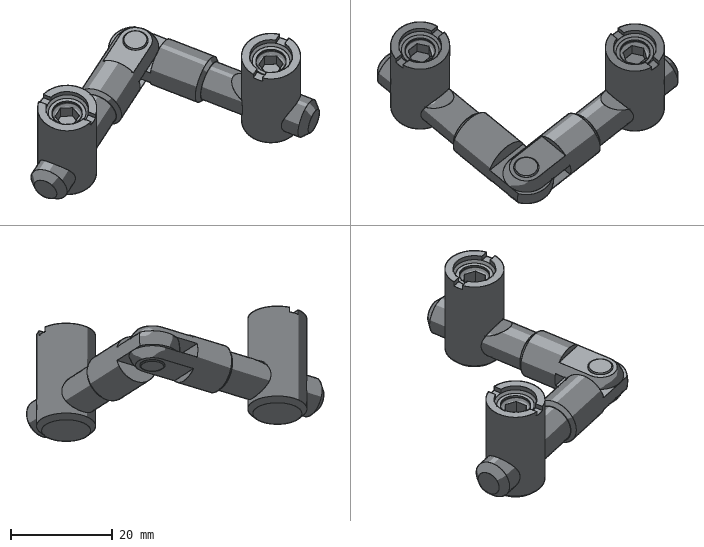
import cadquery as cq
import math

fork_side_turn = -90.0

arm_radius = 4.0
arm_end = 39.5
arm_end_chamfer = 1.5
collar_radius = 4.85
collar_end = 16.45
collar_chamfer = 0.75

tongue_thickness = 3.0
tongue_end_radius = 5.45
tongue_shoulder = 5.62
fork_thickness = 7.05
fork_shoulder = 7.57
pin_radius = 2.5
pin_length = 7.57
pin_chamfer = 0.23

housing_radius = 5.85
housing_top = 15.0
housing_bottom = -5.8
housing_bottom_chamfer = 1.0
housing_place = 30.0
slot_width = 2.0
slot_depth = 1.0
recess_radius = 4.2
recess_depth = 1.5
recess_chamfer = recess_depth - slot_depth

screw_radius = 3.0
screw_sink = 1.9
screw_top = housing_top - screw_sink
socket_flats = 4.15
socket_depth = 3.17
dish_radius = 2.95
dish_floor_radius = 2.35
dish_depth = dish_radius - dish_floor_radius
dish_floor = screw_top - dish_depth

pocket_offset = 3.0
pocket_radius = 5.45
pocket_place = housing_place - pocket_offset
pocket_apex = arm_radius - pocket_radius
screw_apex = pocket_apex + pocket_offset
screw_shoulder = screw_apex + screw_radius


def slab(start, end, thickness):
    """Flat block centred on the arm axis, wide enough to span the collar."""
    width = 3 * collar_radius
    return cq.Workplane("XY").box(end - start, width, thickness).translate(((start + end) / 2, 0, 0))


def collar_cylinder(start, end):
    return cq.Workplane("YZ").workplane(offset=start).circle(collar_radius).extrude(end - start)


def arm_pocket():
    """Cutting cone, continued above the arm so that it clears the surface."""
    height = 2 * pocket_radius
    profile = cq.Workplane("XZ").polyline([(0, 0), (height, height), (0, height)]).close()
    return profile.revolve(360, (0, 0), (0, 1)).translate((pocket_place, 0, pocket_apex))


def make_shank(shoulder):
    """Collar and round arm from the hinge shoulder to the free end."""
    collar = collar_cylinder(shoulder, collar_end).faces(">X").chamfer(collar_chamfer)
    rod = cq.Workplane("YZ").workplane(offset=shoulder).circle(arm_radius).extrude(arm_end - shoulder)
    rod = rod.faces(">X").chamfer(arm_end_chamfer)
    return collar.union(rod).cut(arm_pocket())


def rounded_end(end_radius, shoulder):
    """Collar stock that ends in a ball centred on the hinge axis."""
    ball = cq.Workplane("XY").sphere(end_radius)
    stock = collar_cylinder(-end_radius, shoulder)
    return stock.intersect(ball.union(collar_cylinder(0, shoulder)))


def make_tongue_arm():
    tongue = rounded_end(tongue_end_radius, tongue_shoulder)
    tongue = tongue.intersect(slab(-tongue_end_radius, tongue_shoulder, tongue_thickness))
    pin_hole = cq.Workplane("XY").circle(pin_radius).extrude(tongue_thickness, both=True)
    return make_shank(tongue_shoulder).union(tongue).cut(pin_hole)


def make_fork_arm():
    """Fork with the hinge pin as part of it."""
    fork = rounded_end(collar_radius, fork_shoulder)
    fork = fork.intersect(slab(-collar_radius, fork_shoulder, fork_thickness))
    fork = fork.cut(slab(-collar_radius, fork_shoulder, tongue_thickness))
    pin = cq.Workplane("XY").circle(pin_radius).extrude(pin_length / 2, both=True)
    pin = pin.faces("<Z or >Z").chamfer(pin_chamfer)
    return make_shank(fork_shoulder).union(fork).union(pin)


def make_housing():
    height = housing_top - housing_bottom
    body = cq.Workplane("XY").workplane(offset=housing_bottom).circle(housing_radius).extrude(height)
    body = body.faces("<Z").chamfer(housing_bottom_chamfer)

    recess = cq.Workplane("XY").workplane(offset=housing_top - recess_depth)
    recess = recess.circle(recess_radius).extrude(recess_depth)
    recess = recess.faces("<Z").chamfer(recess_chamfer)
    screw_bore = cq.Workplane("XY").circle(screw_radius).extrude(housing_top)
    arm_bore = cq.Workplane("YZ").circle(arm_radius).extrude(2 * housing_radius, both=True)
    slot = cq.Workplane("XY").box(slot_width, 4 * housing_radius, 2 * slot_depth)
    slot = slot.translate((0, 0, housing_top))

    body = body.cut(recess).cut(screw_bore).cut(arm_bore).cut(slot)
    return body.translate((housing_place, 0, 0))


def make_screw():
    """Pointed set screw with a hexagon socket in the floor of a round-cornered dish."""
    arc_middle_step = dish_depth * math.sin(math.pi / 4)
    arc_middle = (dish_floor_radius + arc_middle_step, screw_top - arc_middle_step)
    profile = (
        cq.Workplane("XZ")
        .moveTo(0, screw_apex)
        .lineTo(screw_radius, screw_shoulder)
        .lineTo(screw_radius, screw_top)
        .lineTo(dish_radius, screw_top)
        .threePointArc(arc_middle, (dish_floor_radius, dish_floor))
        .lineTo(0, dish_floor)
        .close()
    )
    screw = profile.revolve(360, (0, 0), (0, 1))
    socket_corners = socket_flats / math.cos(math.pi / 6)
    socket = cq.Workplane("XY").workplane(offset=screw_top - socket_depth)
    socket = socket.polygon(6, socket_corners).extrude(socket_depth)
    socket = socket.rotate((0, 0, 0), (0, 0, 1), 90)
    return screw.cut(socket)


def to_fork_side(body):
    return body.rotate((0, 0, 0), (0, 0, 1), fork_side_turn)


tongue_arm = make_tongue_arm()
fork_arm = to_fork_side(make_fork_arm())
housings = [make_housing(), to_fork_side(make_housing())]
screw_places = [(housing_place, 0, 0), (0, -housing_place, 0)]
screws = [make_screw().translate(place) for place in screw_places]

result = cq.Compound.makeCompound(
    [tongue_arm.val(), fork_arm.val()]
    + [housing.val() for housing in housings]
    + [screw.val() for screw in screws]
)